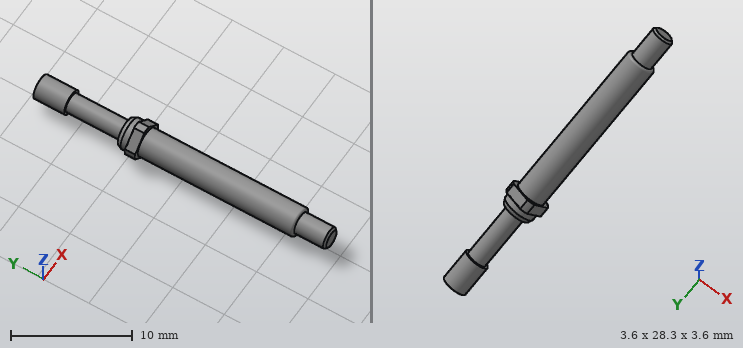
import cadquery as cq


total_length = 28.3

tip_diameter = 2.0
tip_length = 3.0
tip_chamfer = 0.2

barrel_diameter = 2.7
barrel_length = 15.0
barrel_end_radius = 0.2

nut_across_flats = 3.0
nut_across_corners = 3.6
nut_thickness = 1.0

collar_diameter = 2.97
collar_length = 0.6
taper_depth = 0.17
taper_length = 0.4

neck_diameter = 1.8

head_diameter = 2.3
head_length = 3.0

barrel_start = tip_length
nut_start = barrel_start + barrel_length
collar_start = nut_start + nut_thickness
taper_start = collar_start + collar_length
neck_start = taper_start + taper_length
head_start = total_length - head_length


def rod(diameter, start, end):
    """Solid cylinder on the Y axis between two stations."""
    return (
        cq.Workplane("XZ", origin=(0, start, 0))
        .circle(diameter / 2)
        .extrude(start - end)
    )


def tip():
    """Thin contact tip with its free rim chamfered."""
    return rod(tip_diameter, 0, barrel_start).faces("<Y").edges().chamfer(tip_chamfer)


def barrel():
    """Main barrel with its rim next to the tip rounded."""
    return rod(barrel_diameter, barrel_start, nut_start).faces("<Y").edges().fillet(barrel_end_radius)


def square_nut():
    """Square prism standing on its corner, with the corners turned round."""
    prism = (
        cq.Workplane("XZ", origin=(0, nut_start, 0))
        .rect(nut_across_flats, nut_across_flats)
        .extrude(-nut_thickness)
        .rotate((0, 0, 0), (0, 1, 0), 45)
    )
    return prism.intersect(rod(nut_across_corners, nut_start, collar_start))


def collar():
    """Round collar behind the nut, tapering toward the neck."""
    return (
        rod(collar_diameter, collar_start, neck_start)
        .faces(">Y")
        .edges()
        .chamfer(taper_length, taper_depth)
    )


neck = rod(neck_diameter, neck_start, head_start)
head = rod(head_diameter, head_start, total_length)

result = (
    tip()
    .union(barrel())
    .union(square_nut())
    .union(collar())
    .union(neck)
    .union(head)
)